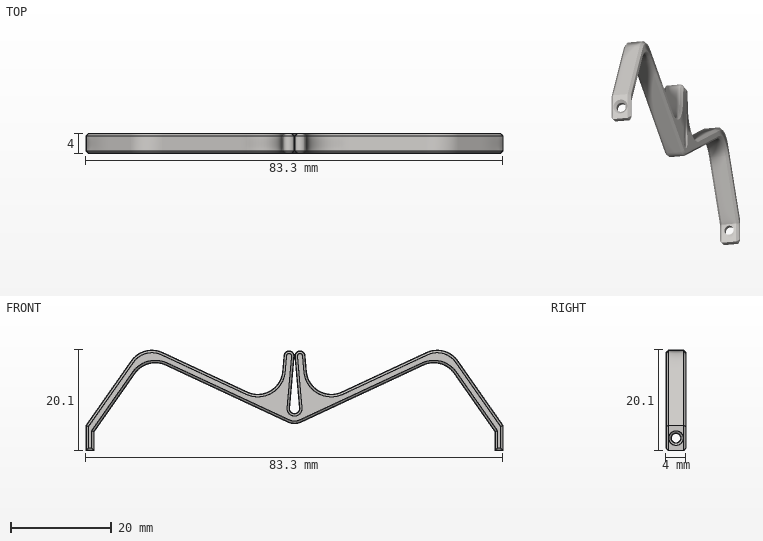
import cadquery as cq
import math

span = 83.32
depth = 4.0
edge_chamfer = 0.5

foot_thickness = 1.6
leg_thickness = 2.0
foot_height = 5.0
leg_angle = 55.0

beam_thickness = 2.0
beam_angle = 25.0
shoulder_outer_radius = 5.0
shoulder_inner_radius = 5.0
valley_radius = 5.0

slot_radius = 1.0
slot_center_z = 8.4
finger_width = 2.0
finger_lean = 5.0
finger_top_z = 19.9
keel_radius = slot_radius + beam_thickness

hole_diameter = 1.9
countersink_diameter = 2.9
countersink_depth = 0.5
hole_z = 2.5

TOUCHING = 1e-6


def direction(angle):
    """Unit vector at an angle in degrees from +X towards +Z."""
    return math.cos(math.radians(angle)), math.sin(math.radians(angle))


def line(point, angle, offset=0.0):
    """Line through a point at an angle, moved sideways to its left by an offset."""
    along_x, along_z = direction(angle)
    return (point[0] - offset * along_z, point[1] + offset * along_x), (along_x, along_z)


def crossing(first, second):
    """Point where two lines cross."""
    (ax, az), (ux, uz) = first
    (bx, bz), (vx, vz) = second
    travel = ((bx - ax) * vz - (bz - az) * vx) / (ux * vz - uz * vx)
    return ax + travel * ux, az + travel * uz


def left_half_corners():
    """Corners (point, radius) of the left half, from the slot end round to the underside."""
    slot_center = (0.0, slot_center_z)
    tip_radius = finger_width / 2
    left_foot_x = -span / 2

    finger_angle = 90 - finger_lean
    slot_floor = line(slot_center, 0, -slot_radius)
    finger_inner = line(slot_center, finger_angle, slot_radius)
    finger_middle = line(slot_center, finger_angle, slot_radius + tip_radius)
    finger_outer = line(slot_center, finger_angle, slot_radius + finger_width)
    tip_center = crossing(finger_middle, line((0.0, finger_top_z - tip_radius), 0))
    finger_tip = line(tip_center, -finger_lean, tip_radius)

    beam_bottom = line(slot_center, -beam_angle, -keel_radius)
    beam_top = line(slot_center, -beam_angle, beam_thickness - keel_radius)
    leg_outer = line((left_foot_x, foot_height), leg_angle)
    leg_inner = line((left_foot_x, foot_height), leg_angle, -leg_thickness)
    foot_outer = line((left_foot_x, 0.0), 90)
    foot_inner = line((left_foot_x, 0.0), 90, -foot_thickness)
    foot_bottom = line((left_foot_x, 0.0), 0)

    return [
        (crossing(slot_floor, finger_inner), slot_radius),
        (crossing(finger_inner, finger_tip), tip_radius),
        (crossing(finger_tip, finger_outer), tip_radius),
        (crossing(finger_outer, beam_top), valley_radius),
        (crossing(beam_top, leg_outer), shoulder_outer_radius),
        (crossing(leg_outer, foot_outer), 0.0),
        (crossing(foot_outer, foot_bottom), 0.0),
        (crossing(foot_bottom, foot_inner), 0.0),
        (crossing(foot_inner, leg_inner), 0.0),
        (crossing(leg_inner, beam_bottom), shoulder_inner_radius),
    ]


def corner_arc(before, corner, after, radius):
    """Start, middle and end of the arc that rounds a corner."""
    point = cq.Vector(*corner)
    back = (cq.Vector(*before) - point).normalized()
    ahead = (cq.Vector(*after) - point).normalized()
    half_angle = back.getAngle(ahead) / 2
    setback = radius / math.tan(half_angle)
    to_middle = radius / math.sin(half_angle) - radius
    middle = point + (back + ahead).normalized() * to_middle
    return point + back * setback, middle, point + ahead * setback


def rounded_profile(corners):
    """Closed wire in the XZ plane through corners that are rounded by their own radii."""
    arcs = []
    for i, (corner, radius) in enumerate(corners):
        before = corners[i - 1][0]
        after = corners[(i + 1) % len(corners)][0]
        arcs.append((radius, corner_arc(before, corner, after, radius)))

    current = arcs[-1][1][2]
    profile = cq.Workplane("XZ").moveTo(current.x, current.y)
    for radius, (start, middle, end) in arcs:
        if (start - current).Length > TOUCHING:
            profile = profile.lineTo(start.x, start.y)
        if radius > 0:
            profile = profile.threePointArc((middle.x, middle.y), (end.x, end.y))
        current = end
    return profile.close()


def make_body():
    left = left_half_corners()
    right = [((-x, z), radius) for (x, z), radius in reversed(left)]
    keel_corner = (0.0, slot_center_z - keel_radius / direction(beam_angle)[0])
    corners = left + [(keel_corner, keel_radius)] + right
    body = rounded_profile(corners).extrude(depth).translate((0, depth / 2, 0))
    return body.faces("<Y or >Y").chamfer(edge_chamfer)


def foot_hole(side):
    """Cutter for one foot: a through hole with a conical mouth on the outer face."""
    outer_face = cq.Plane(origin=(side * span / 2, 0, hole_z), xDir=(0, 1, 0), normal=(-side, 0, 0))
    hole = cq.Workplane(outer_face).circle(hole_diameter / 2).extrude(foot_thickness)
    mouth = (
        cq.Workplane(outer_face)
        .circle(countersink_diameter / 2)
        .workplane(offset=countersink_depth)
        .circle(hole_diameter / 2)
        .loft()
    )
    return hole.union(mouth)


result = make_body()
for side in (-1, 1):
    result = result.cut(foot_hole(side))